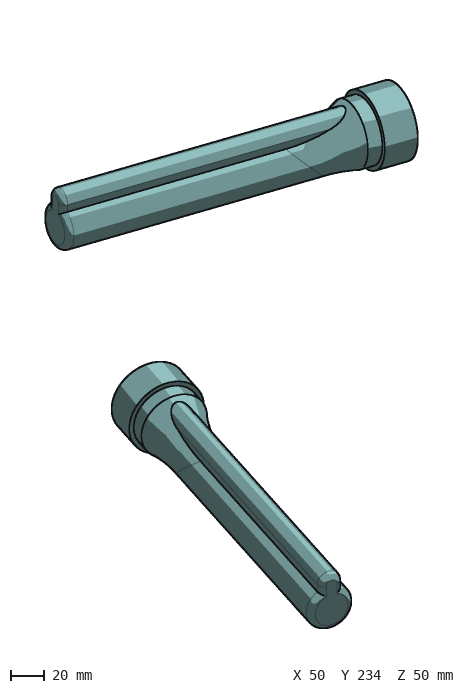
import cadquery as cq
import math

total_length = 234.0

collar_radius = 25.0
collar_length = 22.7

neck_radius = 22.0
neck_length = 9.8
neck_end = collar_length + neck_length

stem_radius = 15.0
stem_z = -5.5
tip_fillet = 4.0

key_radius = 7.5
key_arc_z = 12.5

oblique_angle = 45.0
oblique_depth = 67.5
tangent_fraction = 0.4
flare_sections = 7


def make_collar():
    return cq.Workplane("XZ").circle(collar_radius).extrude(collar_length)


def make_neck():
    return (
        cq.Workplane("XZ", origin=(0, -collar_length, 0))
        .circle(neck_radius)
        .extrude(neck_length)
    )


def make_stem():
    """Round bar with a rounded tip; its back end is hidden inside the flare."""
    return (
        cq.Workplane("XZ", origin=(0, -neck_end, stem_z))
        .circle(stem_radius)
        .extrude(total_length - neck_end)
        .faces("<Y")
        .edges()
        .fillet(tip_fillet)
    )


def make_key():
    """Straight-sided key with a round top, rooted on the stem axis."""
    return (
        cq.Workplane("XZ", origin=(0, -neck_end, 0))
        .moveTo(-key_radius, stem_z)
        .lineTo(-key_radius, key_arc_z)
        .threePointArc((0, key_arc_z + key_radius), (key_radius, key_arc_z))
        .lineTo(key_radius, stem_z)
        .close()
        .extrude(total_length - neck_end)
        .faces("<Y")
        .edges("not <Z")
        .fillet(tip_fillet)
    )


def flare_point(side, t):
    """Point of the flare's quadratic curve at the top (side = 1) or bottom (side = -1)."""
    start = cq.Vector(0, -neck_end, side * neck_radius)
    oblique_offset = side * stem_radius * math.tan(math.radians(oblique_angle))
    end = cq.Vector(0, -oblique_depth - oblique_offset, stem_z + side * stem_radius)
    control_y = start.y + tangent_fraction * (end.y - start.y)
    control = cq.Vector(0, control_y, end.z)
    return start * (1 - t) ** 2 + control * (2 * t * (1 - t)) + end * t**2


def flare_section(t):
    """Ellipse across the flare: the neck circle at t = 0, the oblique stem cut at t = 1."""
    top = flare_point(1, t)
    bottom = flare_point(-1, t)
    upward = top - bottom
    half_width = stem_radius + (neck_radius - stem_radius) * (1 - t) ** 2
    normal = upward.cross(cq.Vector(1, 0, 0))
    center = (top + bottom) * 0.5
    return cq.Wire.makeEllipse(upward.Length / 2, half_width, center, normal, upward)


def make_flare():
    last = flare_sections - 1
    sections = [flare_section(index / last) for index in range(flare_sections)]
    return cq.Workplane(cq.Solid.makeLoft(sections))


def make_shaft():
    return make_neck().union(make_flare()).union(make_stem()).union(make_key())


collar = make_collar()
shaft = make_shaft()

result = cq.Compound.makeCompound([collar.val(), *shaft.solids().vals()])